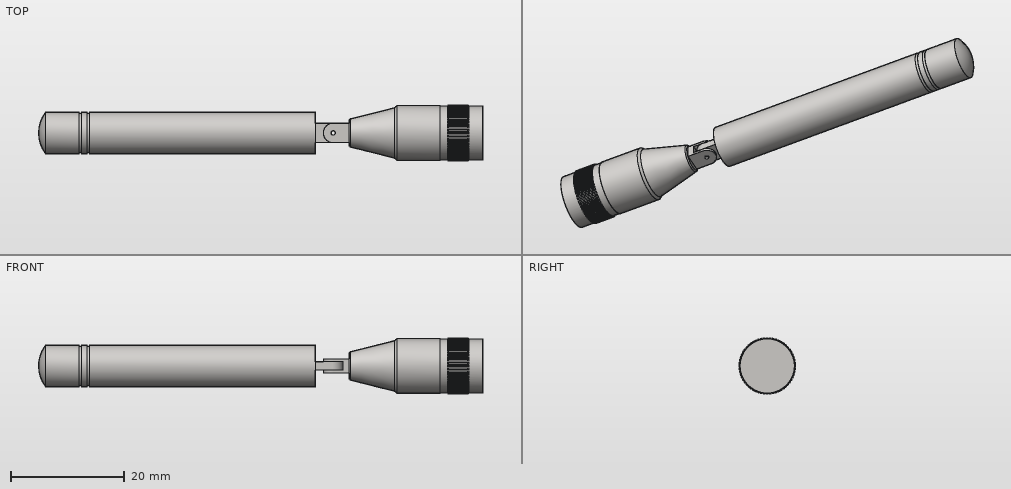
import cadquery as cq
import math

TOTAL_LENGTH = 78.6
DOME_HEIGHT = 1.25
HANDLE_END = 48.95
HINGE_X = 52.1
NECK_FACE = 54.9
CONE_END = 62.95
BARREL_START = 63.4
BARREL_END = 70.95
KNURL_START = 72.3
KNURL_END = 76.1

HANDLE_RADIUS = 3.7
GROOVE_RADIUS = 0.2
GROOVE_CENTERS = (7.4, 8.8)

HINGE_WIDTH = 3.45
FORK_THICKNESS = 2.5
TONGUE_THICKNESS = 1.5
PIN_HOLE_DIAMETER = 0.7

NECK_RADIUS = 2.5
NECK_CHAMFER = 0.2
CONE_RADIUS = 4.5
BARREL_RADIUS = 4.9
BEZEL_RADIUS = 4.8
KNURL_DIAMETER = 10.0
KNURL_RADIUS = KNURL_DIAMETER / 2
KNURL_RIBS = 60


def spin(outline):
    """Revolve a half-outline in the XZ plane about the X axis."""
    return outline.close().revolve(360, (0, 0, 0), (1, 0, 0))


def hinge_plate(start, end, thickness):
    """Flat bar between two X positions, centred on the axis."""
    return (
        cq.Workplane("XY")
        .box(end - start, HINGE_WIDTH, thickness, centered=(False, True, True))
        .translate((start, 0, 0))
    )


def hinge_disc(radius, thickness):
    """Disc about the hinge axis, centred on Z = 0."""
    return cq.Workplane("XY").center(HINGE_X, 0).circle(radius).extrude(thickness / 2, both=True)


def drill_pin_hole(body):
    """Cut the hinge pin hole right through a body."""
    return body.cut(hinge_disc(PIN_HOLE_DIAMETER / 2, 2 * FORK_THICKNESS))


def make_handle():
    """Domed, grooved round bar with the hinge tongue on its end."""
    dome_radius = (HANDLE_RADIUS**2 + DOME_HEIGHT**2) / (2 * DOME_HEIGHT)
    dome_mid_x = DOME_HEIGHT / 4
    dome_mid_z = math.sqrt(dome_radius**2 - (dome_radius - dome_mid_x) ** 2)
    handle = spin(
        cq.Workplane("XZ")
        .moveTo(0, 0)
        .threePointArc((dome_mid_x, dome_mid_z), (DOME_HEIGHT, HANDLE_RADIUS))
        .lineTo(HANDLE_END, HANDLE_RADIUS)
        .lineTo(HANDLE_END, 0)
    )
    for center in GROOVE_CENTERS:
        groove = (
            cq.Workplane("XZ", origin=(center, 0, HANDLE_RADIUS))
            .circle(GROOVE_RADIUS)
            .revolve(360, (0, -HANDLE_RADIUS, 0), (1, -HANDLE_RADIUS, 0))
        )
        handle = handle.cut(groove)
    tongue = hinge_plate(HANDLE_END, HINGE_X, TONGUE_THICKNESS)
    tongue = tongue.union(hinge_disc(HINGE_WIDTH / 2, TONGUE_THICKNESS))
    return drill_pin_hole(handle.union(tongue))


def polar_point(radius, angle):
    """Point at an angle about the axis, in the plane across it."""
    return (radius * math.cos(angle), radius * math.sin(angle))


def make_knurl():
    """Ring of straight square ribs along the axis, chamfered down to the bezel at both ends."""
    pitch = 2 * math.pi / KNURL_RIBS
    points = []
    for i in range(KNURL_RIBS):
        crest_start = pitch * (i - 1 / 4)
        crest_end = crest_start + pitch / 2
        next_crest = crest_start + pitch
        points.append(polar_point(KNURL_RADIUS, crest_start))
        points.append(polar_point(KNURL_RADIUS, crest_end))
        points.append(polar_point(BEZEL_RADIUS, crest_end))
        points.append(polar_point(BEZEL_RADIUS, next_crest))
    ribs = (
        cq.Workplane("YZ", origin=(KNURL_START, 0, 0))
        .polyline(points)
        .close()
        .extrude(KNURL_END - KNURL_START)
    )
    rib_height = KNURL_RADIUS - BEZEL_RADIUS
    envelope = spin(
        cq.Workplane("XZ")
        .moveTo(KNURL_START, 0)
        .lineTo(KNURL_START, BEZEL_RADIUS)
        .lineTo(KNURL_START + rib_height, KNURL_RADIUS)
        .lineTo(KNURL_END - rib_height, KNURL_RADIUS)
        .lineTo(KNURL_END, BEZEL_RADIUS)
        .lineTo(KNURL_END, 0)
    )
    return ribs.intersect(envelope)


def make_head():
    """Conical head with a knurled ring, and the hinge fork on its neck."""
    head = spin(
        cq.Workplane("XZ")
        .moveTo(NECK_FACE, 0)
        .lineTo(NECK_FACE, NECK_RADIUS - NECK_CHAMFER)
        .lineTo(NECK_FACE + NECK_CHAMFER, NECK_RADIUS)
        .lineTo(CONE_END, CONE_RADIUS)
        .lineTo(BARREL_START, BARREL_RADIUS)
        .lineTo(BARREL_END, BARREL_RADIUS)
        .lineTo(BARREL_END, BEZEL_RADIUS)
        .lineTo(TOTAL_LENGTH, BEZEL_RADIUS)
        .lineTo(TOTAL_LENGTH, 0)
    )
    head = head.union(make_knurl())
    fork = hinge_plate(HINGE_X, NECK_FACE, FORK_THICKNESS)
    fork = fork.union(hinge_disc(HINGE_WIDTH / 2, FORK_THICKNESS))
    slot = hinge_plate(HANDLE_END, HINGE_X + HINGE_WIDTH / 2, TONGUE_THICKNESS)
    return drill_pin_hole(head.union(fork.cut(slot)))


handle = make_handle()
head = make_head()

result = cq.Compound.makeCompound([handle.val(), head.val()])